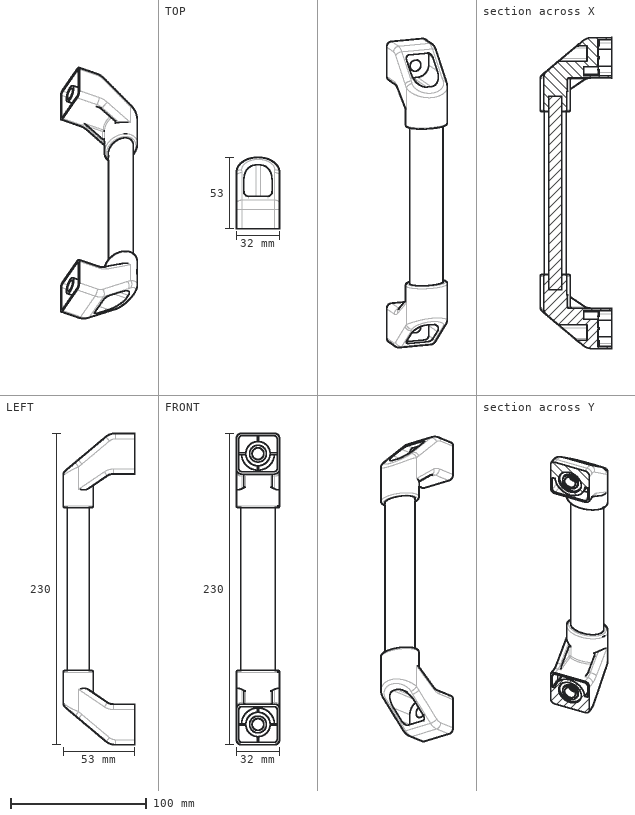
import cadquery as cq
import math

LENGTH = 230.0
WIDTH = 32.0
DEPTH = 53.0
FACE_Y = -DEPTH / 2
TOP_Z = LENGTH / 2

COLLAR_DEPTH = 22.3
GRIP_Y = DEPTH / 2 - COLLAR_DEPTH / 2
COLLAR_FRONT_Y = GRIP_Y - COLLAR_DEPTH / 2
COLLAR_END_Z = 60.0
COLLAR_END_ROUND = 1.4
GRIP_WIDTH = 25.8
GRIP_DEPTH = 16.3
SOCKET_DEPTH = 11.5

FOOT_HEIGHT = 30.1
FOOT_BOTTOM_Z = TOP_Z - FOOT_HEIGHT
SCREW_Z = TOP_Z - FOOT_HEIGHT / 2
BEND_Y = FACE_Y + 18.5
UPPER_SLOPE = math.radians(40)
LOWER_SLOPE = math.radians(34)
UPPER_BEND_RADIUS = 10.8
LOWER_BEND_RADIUS = 8.0
EDGE_ROUND = 4.0
WING_GAP = 21.2
GAP_CORNER_ROUND = 1.0

POCKET_WALL = 1.8
POCKET_CORNER = 2.3
POCKET_DEPTH = 10.1
DEEP_POCKET_DEPTH = 20.7
DEEP_POCKET_INNER_DIAMETER = 24.4
RIB_HEIGHT = 0.7
RIB_THICKNESS = 1.4

SCREW_HOLE_DIAMETER = 8.5
BOSS_DIAMETER = 12.5
GROOVE_DIAMETER = 18.0
GROOVE_DEPTH = 2.3

RECESS_WIDTH = 20.7
RECESS_FLOOR_Y = FACE_Y + 18.5
RECESS_BOTTOM_Z = TOP_Z - 24.2
RECESS_TOP_Z = TOP_Z - 4.8
RECESS_STRIP_WIDTH = 3.5
RECESS_UPPER_ROUND = 3.0


def elliptic_column(width, depth, bottom_z, top_z):
    """Upright column of elliptical section on the axis of the grip."""
    return (
        cq.Workplane("XY", origin=(0, GRIP_Y, bottom_z))
        .ellipse(width / 2, depth / 2)
        .extrude(top_z - bottom_z)
    )


def box(x_range, y_range, z_range):
    """Box between the given limits along X, Y and Z."""
    sizes = [high - low for low, high in (x_range, y_range, z_range)]
    corner = (x_range[0], y_range[0], z_range[0])
    return cq.Workplane("XY").box(*sizes, centered=False).translate(corner)


def rod(diameter, start_y, end_y):
    """Cylinder along Y on the screw axis."""
    length = end_y - start_y
    return (
        cq.Workplane("XZ", origin=(0, start_y, SCREW_Z))
        .circle(diameter / 2)
        .extrude(-length)
    )


def upper_slope_z(y):
    """Height of the arm's upper slope at the given Y."""
    return TOP_Z - (y - BEND_Y) * math.tan(UPPER_SLOPE)


def lower_slope_z(y):
    """Height of the arm's lower slope at the given Y."""
    return FOOT_BOTTOM_Z - (y - BEND_Y) * math.tan(LOWER_SLOPE)


def forward_arm():
    """Foot and sloping arm up to the grip axis, split into two wings below."""
    arm = (
        cq.Workplane("YZ", origin=(-WIDTH / 2, 0, 0))
        .polyline([
            (FACE_Y, FOOT_BOTTOM_Z),
            (FACE_Y, TOP_Z),
            (BEND_Y, TOP_Z),
            (GRIP_Y, upper_slope_z(GRIP_Y)),
            (GRIP_Y, lower_slope_z(GRIP_Y)),
            (BEND_Y, FOOT_BOTTOM_Z),
        ])
        .close()
        .extrude(WIDTH)
    )
    for corner_z, radius in ((TOP_Z, UPPER_BEND_RADIUS), (FOOT_BOTTOM_Z, LOWER_BEND_RADIUS)):
        bend = cq.selectors.NearestToPointSelector((0, BEND_Y, corner_z))
        arm = arm.edges("|X").edges(bend).fillet(radius)
    arm = arm.edges("|Y").edges("<Z").fillet(EDGE_ROUND)

    half_gap = WING_GAP / 2
    return arm.cut(box((-half_gap, half_gap), (FACE_Y, GRIP_Y), (0, FOOT_BOTTOM_Z)))


def collar():
    """Elliptical collar that runs up to the slope of the arm."""
    back_y = DEPTH / 2
    column = elliptic_column(WIDTH, COLLAR_DEPTH, COLLAR_END_Z, TOP_Z)
    above_slope = (
        cq.Workplane("YZ")
        .polyline([
            (COLLAR_FRONT_Y, upper_slope_z(COLLAR_FRONT_Y)),
            (back_y, upper_slope_z(back_y)),
            (back_y, TOP_Z),
            (COLLAR_FRONT_Y, TOP_Z),
        ])
        .close()
        .extrude(WIDTH / 2, both=True)
    )
    return column.cut(above_slope).faces("<Z").edges().fillet(COLLAR_END_ROUND)


def solid_bracket():
    """Arm joined to its collar, with the upper edge rounded all the way around."""
    block = forward_arm().union(collar())
    block = block.edges("|Y").edges(">Z").fillet(EDGE_ROUND)

    half_gap = WING_GAP / 2
    wall_end_y = GRIP_Y - COLLAR_DEPTH / 2 * math.sqrt(1 - (WING_GAP / WIDTH) ** 2)
    wall_end_z = (FOOT_BOTTOM_Z + lower_slope_z(wall_end_y)) / 2
    corners = cq.selectors.NearestToPointSelector((0, COLLAR_FRONT_Y, FOOT_BOTTOM_Z))
    for x in (-half_gap, half_gap):
        wall_top = (x, (BEND_Y + wall_end_y) / 2, FOOT_BOTTOM_Z)
        corners += cq.selectors.NearestToPointSelector(wall_top)
        corners += cq.selectors.NearestToPointSelector((x, wall_end_y, wall_end_z))
    return block.edges(corners).fillet(GAP_CORNER_ROUND)


def face_pocket():
    """Space hollowed out of the foot, with the screw boss and the low ribs left standing in it."""
    half_width = WIDTH / 2 - POCKET_WALL
    z_range = (FOOT_BOTTOM_Z + POCKET_WALL, TOP_Z - POCKET_WALL)
    floor_y = FACE_Y + POCKET_DEPTH
    deep_floor_y = FACE_Y + DEEP_POCKET_DEPTH
    rib_y = (floor_y - RIB_HEIGHT, deep_floor_y)
    half_rib = RIB_THICKNESS / 2

    x_range = (-half_width, half_width)
    pocket = box(x_range, (FACE_Y, floor_y), z_range)
    deep_part = box(x_range, (FACE_Y, deep_floor_y), (z_range[0], SCREW_Z))
    deep_part = deep_part.cut(rod(DEEP_POCKET_INNER_DIAMETER, floor_y, deep_floor_y))
    outline = box(x_range, (FACE_Y, deep_floor_y), z_range).edges("|Y").fillet(POCKET_CORNER)
    pocket = pocket.union(deep_part).intersect(outline)

    cross_rib = box(x_range, rib_y, (SCREW_Z - half_rib, SCREW_Z + half_rib))
    upright_rib = box((-half_rib, half_rib), rib_y, z_range)
    pocket = pocket.cut(cross_rib).cut(upright_rib)

    groove = rod(GROOVE_DIAMETER, FACE_Y, floor_y + GROOVE_DEPTH)
    boss = rod(BOSS_DIAMETER, FACE_Y, floor_y + GROOVE_DEPTH)
    return pocket.union(groove).cut(boss)


def screw_recess():
    """Recess for the screw head: flat bottom strip, large lower rounds and small upper ones."""
    height = RECESS_TOP_Z - RECESS_BOTTOM_Z
    middle_z = (RECESS_TOP_Z + RECESS_BOTTOM_Z) / 2
    recess = (
        cq.Workplane("XZ", origin=(0, RECESS_FLOOR_Y, middle_z))
        .rect(RECESS_WIDTH, height)
        .extrude(RECESS_FLOOR_Y - DEPTH / 2)
    )
    lower_round = (RECESS_WIDTH - RECESS_STRIP_WIDTH) / 2
    recess = recess.faces("<Z").edges("|Y").fillet(lower_round)
    return recess.faces(">Z").edges("|Y").fillet(RECESS_UPPER_ROUND)


def grip_bar():
    """Solid elliptical bar whose ends sit in the sockets of both collars."""
    end_z = COLLAR_END_Z + SOCKET_DEPTH
    return elliptic_column(GRIP_WIDTH, GRIP_DEPTH, -end_z, end_z)


def bracket():
    """Upper bracket; the lower one is its mirror image."""
    body = solid_bracket()
    body = body.cut(face_pocket()).cut(screw_recess())
    body = body.cut(rod(SCREW_HOLE_DIAMETER, FACE_Y, RECESS_FLOOR_Y))
    return body.cut(grip_bar())


grip = grip_bar()
upper_bracket = bracket()
lower_bracket = upper_bracket.mirror("XY")

result = cq.Compound.makeCompound([grip.val(), upper_bracket.val(), lower_bracket.val()])